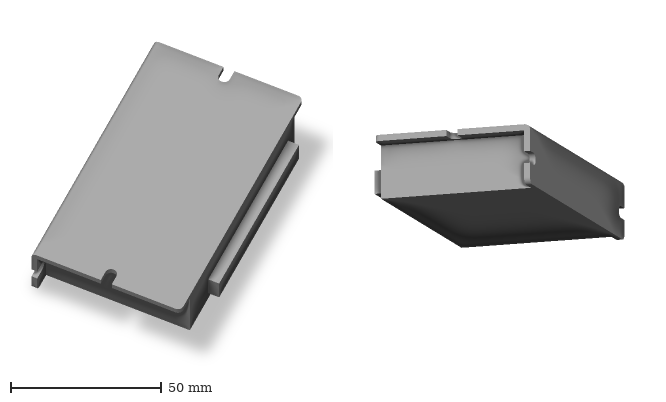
import cadquery as cq

length = 96.0
plate_width = 55.0
height = 20.3
sheet = 2.1
bend_radius = 2.0
corner_radius = 2.0

slot_width = 4.0
slot_depth = 5.7
top_slot_x = 27.6
side_slot_z = 9.0

body_length = 82.0

connector_length = 62.5
connector_height = 8.0
connector_bottom = 3.0
connector_end_gap = 12.1
overall_width = 59.0


def box(x_start, x_end, y_start, y_end, z_start, z_end):
    """Axis-aligned box between the given limits."""
    size = (x_end - x_start, y_end - y_start, z_end - z_start)
    return cq.Workplane().box(*size, centered=False).translate((x_start, y_start, z_start))


def slot_cutter(plane, across, end, depth):
    """Round-bottomed slot through the sheet, open at one end of the cover."""
    arc_center = end * (length / 2 - slot_depth + slot_width / 2)
    straight_length = slot_depth - slot_width / 2
    straight_center = end * (length - straight_length) / 2
    straight = (
        cq.Workplane(plane)
        .center(across, straight_center)
        .rect(slot_width, straight_length)
        .extrude(depth)
    )
    bottom = cq.Workplane(plane).center(across, arc_center).circle(slot_width / 2).extrude(depth)
    return straight.union(bottom)


def make_cover():
    half = length / 2
    top = box(0, plate_width, -half, half, height - sheet, height)
    top = top.edges("|Z and >X").fillet(corner_radius)
    flange = box(0, sheet, -half, half, 0, height)
    flange = flange.edges("|X and <Z").fillet(corner_radius)
    cover = top.union(flange)
    cover = cover.edges("|Y and <X and >Z").fillet(bend_radius)

    top_plane = cq.Plane(origin=(0, 0, height - sheet), xDir=(1, 0, 0), normal=(0, 0, 1))
    side_plane = cq.Plane(origin=(sheet, 0, 0), xDir=(0, 0, 1), normal=(-1, 0, 0))
    for end in (-1, 1):
        cover = cover.cut(slot_cutter(top_plane, top_slot_x, end, sheet))
        cover = cover.cut(slot_cutter(side_plane, side_slot_z, end, sheet))
    return cover


def make_body():
    half = body_length / 2
    return box(sheet, plate_width, -half, half, 0, height - sheet)


def make_connector():
    y_end = length / 2 - connector_end_gap
    z_end = connector_bottom + connector_height
    return box(plate_width, overall_width, y_end - connector_length, y_end, connector_bottom, z_end)


result = make_cover().union(make_body()).union(make_connector())